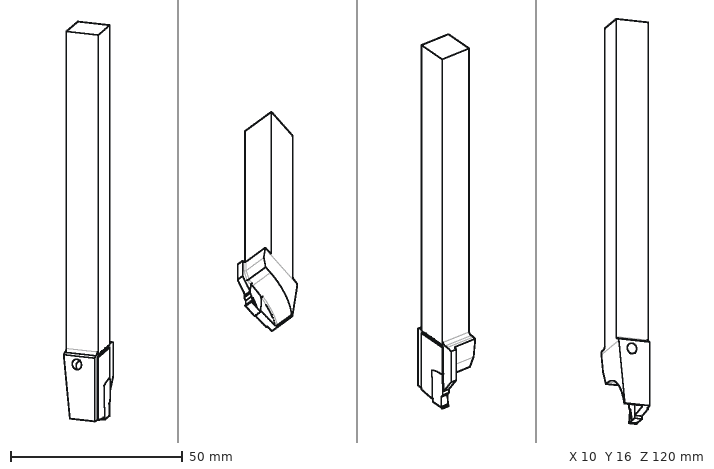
import cadquery as cq
import math

TOTAL_HEIGHT = 120.0
SHANK_SIDE = 10.0
HEAD_WIDTH = 9.6
HEAD_DEPTH = 16.0
SHANK_FRONT = 2.2
SHANK_BACK = SHANK_FRONT + SHANK_SIDE

SHOULDER_TOP = 22.0
SHOULDER_EDGE = 21.5
FRONT_SLOPE = 0.8
BACK_SLOPE = 1.9
SHANK_FILLET = 0.8
TAPER_TOP = 21.1

FRONT_BOTTOM = 2.0
BACK_BOTTOM = 10.9
BACK_SLANT_FOOT = (12.5, 6.1)
SIDE_TAPER = 5.6

BLADE_SIDE = 7.7
POCKET_FILLET = 0.5
POCKET_RADIUS = 11.0
POCKET_TOP = 11.8
POCKET_CENTER_Y = 11.5
POCKET_CENTER_Z = POCKET_TOP - POCKET_RADIUS
POCKET_CORNER_Y = 13.7
POCKET_WALL_Y = 15.0
POCKET_WALL_FOOT = 15.8
CLEARANCE = 6.0

HOLE_X = 4.1
HOLE_Z = 19.0
HOLE_DIAMETER = 2.9
HOLE_DEPTH = 3.6
HOLE_TILT = 24.0
DRILL_POINT_ANGLE = 118.0

INSERT_FRONT_TOP = 7.2
INSERT_FRONT = 7.5
INSERT_FRONT_BOTTOM = 1.1
INSERT_BOTTOM = 0.2
INSERT_BACK_TOP = 12.1
INSERT_BACK = BACK_SLANT_FOOT[0]
NECK_BACK = 11.8
NECK_TOP = 4.9
NECK_BOTTOM = 4.0
TIP_BACK = 12.1
TIP_RISE = 0.6
LIP_WIDTH = 0.2
LIP_HEIGHT = 4.1
LIP_BACK_HEIGHT = 2.6
LIP_TOP_Y = 11.2
LIP_FRONT = 9.7


def pocket_arc_height(y):
    """Height of the pocket arc at a given Y."""
    return POCKET_CENTER_Z + math.sqrt(POCKET_RADIUS**2 - (y - POCKET_CENTER_Y) ** 2)


def yz_prism(outline, x_start, x_end):
    """Extrude a YZ outline along X."""
    return cq.Workplane("YZ", origin=(x_start, 0, 0)).polyline(outline).close().extrude(x_end - x_start)


def make_shank():
    """Square shank that runs down into the head."""
    shank = cq.Workplane("XY").box(SHANK_SIDE, SHANK_SIDE, TOTAL_HEIGHT - SHOULDER_TOP, centered=False)
    return shank.translate((0, SHANK_FRONT, SHOULDER_TOP))


def make_head_block():
    """Head with sloping shoulders, a slanted back edge and a raised pad on the +X side."""
    outline = [
        (0, FRONT_BOTTOM),
        (0, SHOULDER_EDGE),
        (FRONT_SLOPE, SHOULDER_TOP),
        (HEAD_DEPTH - BACK_SLOPE, SHOULDER_TOP),
        (HEAD_DEPTH, SHOULDER_EDGE),
        (HEAD_DEPTH, BACK_BOTTOM),
        BACK_SLANT_FOOT,
        (INSERT_FRONT, INSERT_FRONT_BOTTOM),
    ]
    head = yz_prism(outline, 0, HEAD_WIDTH)
    pad = yz_prism(outline, HEAD_WIDTH, SHANK_SIDE)
    pad_limit = cq.Workplane("XY").box(SHANK_SIDE, SHANK_SIDE, TAPER_TOP, centered=False)
    return head.union(pad.intersect(pad_limit.translate((0, SHANK_FRONT, 0))))


def make_shank_fillet(y_face, direction):
    """Concave fillet between the shoulder and one shank face."""
    y_edge = y_face + direction * SHANK_FILLET
    sag = SHANK_FILLET * (1 - math.sqrt(0.5))
    return (
        cq.Workplane("YZ")
        .moveTo(y_face, SHOULDER_TOP)
        .lineTo(y_edge, SHOULDER_TOP)
        .threePointArc(
            (y_face + direction * sag, SHOULDER_TOP + sag),
            (y_face, SHOULDER_TOP + SHANK_FILLET),
        )
        .close()
        .extrude(HEAD_WIDTH)
    )


def make_side_taper():
    """Wedge removed from the -X side so the head narrows downward."""
    inset = TAPER_TOP * math.tan(math.radians(SIDE_TAPER))
    return (
        cq.Workplane("XZ", origin=(0, HEAD_DEPTH, 0))
        .polyline([(0, TAPER_TOP), (inset, 0), (0, 0)])
        .close()
        .extrude(HEAD_DEPTH)
    )


def make_pocket():
    """Pocket below and behind the thick part of the head, rounded along its floor."""
    arc_end = (POCKET_CENTER_Y - POCKET_RADIUS, POCKET_CENTER_Z)
    arc_middle_y = POCKET_CENTER_Y - POCKET_RADIUS * math.sqrt(0.5)
    cutter = (
        cq.Workplane("YZ", origin=(-CLEARANCE, 0, 0))
        .moveTo(arc_end[0], -CLEARANCE)
        .lineTo(*arc_end)
        .threePointArc((arc_middle_y, pocket_arc_height(arc_middle_y)), (POCKET_CENTER_Y, POCKET_TOP))
        .lineTo(POCKET_CORNER_Y, POCKET_TOP)
        .lineTo(POCKET_WALL_Y, POCKET_WALL_FOOT)
        .lineTo(POCKET_WALL_Y, SHOULDER_TOP + CLEARANCE)
        .lineTo(HEAD_DEPTH + CLEARANCE, SHOULDER_TOP + CLEARANCE)
        .lineTo(HEAD_DEPTH + CLEARANCE, -CLEARANCE)
        .close()
        .extrude(BLADE_SIDE + CLEARANCE)
    )
    return cutter.faces(">X").edges().fillet(POCKET_FILLET)


def make_coolant_hole():
    """Blind drilled hole with a conical end, slanting down from the front face."""
    radius = HOLE_DIAMETER / 2
    point_length = radius / math.tan(math.radians(DRILL_POINT_ANGLE / 2))
    drill = (
        cq.Workplane("XY", origin=(HOLE_X, 0, HOLE_Z))
        .polyline([(0, -radius), (radius, -radius), (radius, HOLE_DEPTH), (0, HOLE_DEPTH + point_length)])
        .close()
        .revolve(360, (0, 0, 0), (0, 1, 0))
    )
    return drill.rotate((HOLE_X, 0, HOLE_Z), (HOLE_X + 1.2, 0, HOLE_Z), -HOLE_TILT)


def make_insert_plate(x_start):
    """Insert outline with a stepped back edge, extruded from x_start to the +X side."""
    arc_middle_y = (INSERT_FRONT_TOP + POCKET_CENTER_Y) / 2
    return (
        cq.Workplane("YZ", origin=(x_start, 0, 0))
        .moveTo(INSERT_FRONT, INSERT_BOTTOM)
        .lineTo(INSERT_FRONT_TOP, pocket_arc_height(INSERT_FRONT_TOP))
        .threePointArc((arc_middle_y, pocket_arc_height(arc_middle_y)), (POCKET_CENTER_Y, POCKET_TOP))
        .lineTo(INSERT_BACK_TOP, POCKET_TOP)
        .lineTo(*BACK_SLANT_FOOT)
        .lineTo(INSERT_BACK, NECK_TOP)
        .lineTo(NECK_BACK, NECK_BOTTOM)
        .lineTo(NECK_BACK, TIP_RISE)
        .lineTo(TIP_BACK, 0)
        .lineTo(NECK_BACK, INSERT_BOTTOM)
        .close()
        .extrude(SHANK_SIDE - x_start)
    )


def make_insert():
    """Cutting insert standing in the blade, with a lip flared toward -X."""
    lip_side = yz_prism(
        [
            (LIP_TOP_Y, LIP_HEIGHT),
            (NECK_BACK, LIP_BACK_HEIGHT),
            (NECK_BACK, TIP_RISE),
            (TIP_BACK, 0),
            (LIP_FRONT, INSERT_BOTTOM),
        ],
        BLADE_SIDE - LIP_WIDTH,
        BLADE_SIDE,
    )
    lip_flare = (
        cq.Workplane("XZ", origin=(0, HEAD_DEPTH, 0))
        .polyline([(BLADE_SIDE, LIP_HEIGHT), (BLADE_SIDE - LIP_WIDTH, 0), (BLADE_SIDE, 0)])
        .close()
        .extrude(HEAD_DEPTH)
    )
    return make_insert_plate(BLADE_SIDE).union(lip_side.intersect(lip_flare))


insert = make_insert()

holder = make_shank().union(make_head_block())
holder = holder.union(make_shank_fillet(SHANK_FRONT, -1))
holder = holder.union(make_shank_fillet(SHANK_BACK, 1))
holder = holder.cut(make_side_taper())
holder = holder.cut(make_pocket())
holder = holder.cut(make_coolant_hole())
holder = holder.cut(make_insert_plate(BLADE_SIDE - POCKET_FILLET))

result = cq.Compound.makeCompound([holder.val(), insert.val()])